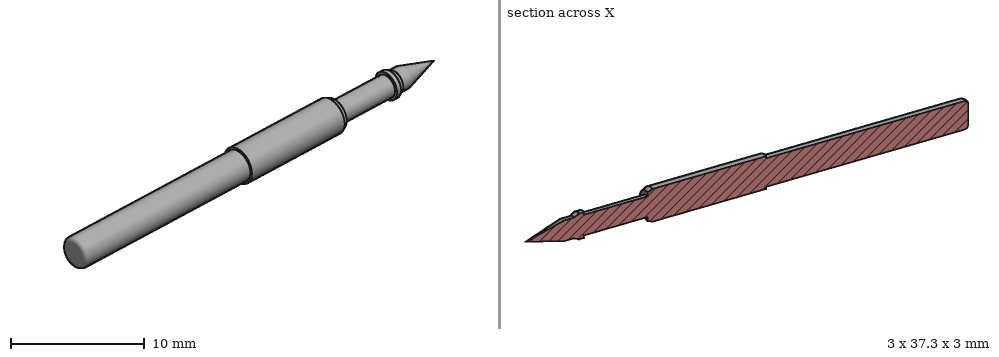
import cadquery as cq

total_length = 37.3

tail_diameter = 2.6
tail_edge_radius = 0.37

sleeve_diameter = 3.0
sleeve_start = 17.0
sleeve_end = 27.0
sleeve_chamfer_length = 0.4
sleeve_chamfer_depth = 0.2

neck_diameter = 1.9

collar_diameter = 2.35
collar_start = 32.35
collar_length = 0.4
collar_taper_length = 0.45

needle_length = 3.3


def cylinder(diameter, start, end):
    """Round bar along +Y, with start and end measured from the tail face."""
    plane = cq.Workplane("XZ", origin=(0, start, 0))
    return plane.circle(diameter / 2).extrude(start - end)


def cone(start_diameter, end_diameter, start, end):
    """Tapered length along +Y; a zero end diameter gives a sharp point."""
    taper = cq.Solid.makeCone(
        start_diameter / 2, end_diameter / 2, end - start, cq.Vector(0, start, 0), cq.Vector(0, 1, 0)
    )
    return cq.Workplane(taper)


tail = cylinder(tail_diameter, 0, sleeve_start).faces("<Y").edges().fillet(tail_edge_radius)

sleeve_shoulder = sleeve_end - sleeve_chamfer_length
sleeve = cylinder(sleeve_diameter, sleeve_start, sleeve_shoulder)
sleeve_front_diameter = sleeve_diameter - 2 * sleeve_chamfer_depth
sleeve_chamfer = cone(sleeve_diameter, sleeve_front_diameter, sleeve_shoulder, sleeve_end)

needle_start = total_length - needle_length
neck = cylinder(neck_diameter, sleeve_end, needle_start)

collar_end = collar_start + collar_length
collar = cylinder(collar_diameter, collar_start, collar_end)
collar_taper = cone(collar_diameter, neck_diameter, collar_end, collar_end + collar_taper_length)

needle = cone(neck_diameter, 0, needle_start, total_length)

result = tail
for section in (sleeve, sleeve_chamfer, neck, collar, collar_taper, needle):
    result = result.union(section)

result = result.translate((0, -total_length / 2, 0))